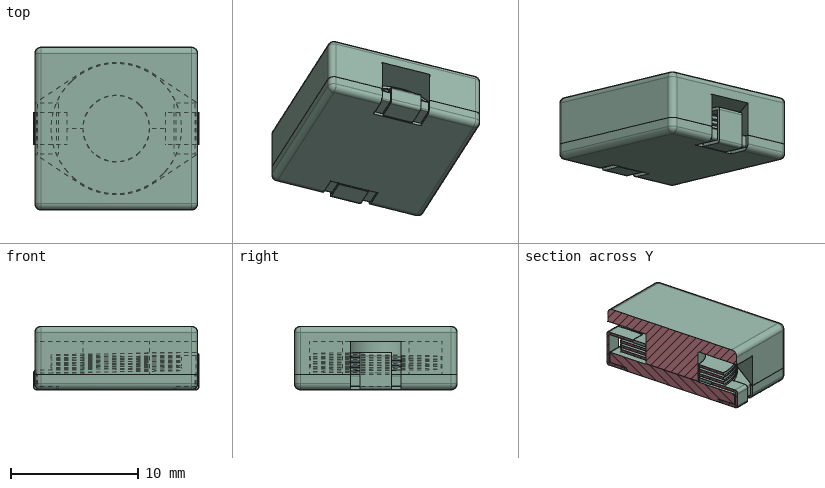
import cadquery as cq
import math

BLOCK_SIDE = 12.8
BLOCK_HEIGHT = 5.0
EDGE_RADIUS = 0.5
BASE_HEIGHT = 1.2

CHAMBER_TOP = 3.8
CHAMBER_RADIUS = 5.2
POST_DIAMETER = 5.2
WINDOW_WIDTH = 4.0

OVERALL_LENGTH = 13.01
WIRE_WIDTH = 2.5
WIRE_THICKNESS = 0.25
COIL_PITCH = 0.39
COIL_TURNS = 3.5
COIL_BOTTOM = 1.33
COIL_CLEARANCE = 0.03

SHOULDER_SETBACK = 0.2
SHOULDER_RADIUS = 0.1

BEND_RADIUS = 0.01
FOOT_LENGTH = 1.82
FOOT_CLEARANCE = 0.13

half_side = BLOCK_SIDE / 2
half_length = OVERALL_LENGTH / 2
half_wire = WIRE_THICKNESS / 2
post_radius = POST_DIAMETER / 2
coil_inner_radius = post_radius + COIL_CLEARANCE
coil_mean_radius = coil_inner_radius + WIRE_WIDTH / 2
lower_lead_height = COIL_BOTTOM + half_wire
upper_lead_height = lower_lead_height + COIL_TURNS * COIL_PITCH
shoulder_x = half_side - SHOULDER_SETBACK
channel_end_x = half_length - FOOT_LENGTH - FOOT_CLEARANCE


def slab(bottom, top):
    """Square slab over the block's whole footprint between two heights."""
    return (
        cq.Workplane("XY")
        .workplane(offset=bottom)
        .rect(BLOCK_SIDE, BLOCK_SIDE)
        .extrude(top - bottom)
    )


def rounded_slab(bottom, top, outer_face):
    """Slab rounded along its vertical edges and around one outer face."""
    rounded_sides = slab(bottom, top).edges("|Z").fillet(EDGE_RADIUS)
    return rounded_sides.faces(outer_face).edges().fillet(EDGE_RADIUS)


def chamber():
    """Round chamber whose walls run along tangents to a window at each end of X."""
    corner_y = WINDOW_WIDTH / 2
    corner_distance = math.hypot(half_side, corner_y)
    tangent_angle = math.atan2(corner_y, half_side) + math.acos(CHAMBER_RADIUS / corner_distance)
    tangent_x = CHAMBER_RADIUS * math.cos(tangent_angle)
    tangent_y = CHAMBER_RADIUS * math.sin(tangent_angle)
    return (
        cq.Workplane("XY")
        .workplane(offset=BASE_HEIGHT)
        .moveTo(half_side, -corner_y)
        .lineTo(half_side, corner_y)
        .lineTo(tangent_x, tangent_y)
        .threePointArc((0, CHAMBER_RADIUS), (-tangent_x, tangent_y))
        .lineTo(-half_side, corner_y)
        .lineTo(-half_side, -corner_y)
        .lineTo(-tangent_x, -tangent_y)
        .threePointArc((0, -CHAMBER_RADIUS), (tangent_x, -tangent_y))
        .close()
        .extrude(CHAMBER_TOP - BASE_HEIGHT)
    )


def make_upper_core():
    """Rounded cover with the winding chamber and its central round post."""
    post = (
        cq.Workplane("XY")
        .workplane(offset=BASE_HEIGHT)
        .circle(post_radius)
        .extrude(CHAMBER_TOP - BASE_HEIGHT)
    )
    return rounded_slab(BASE_HEIGHT, BLOCK_HEIGHT, ">Z").cut(chamber().cut(post))


def terminal_notch():
    """Material removed from the +X end of the base so that a terminal can wrap around it."""
    shoulder_height = BASE_HEIGHT - WIRE_THICKNESS
    blank = cq.Workplane("XY").box(
        half_side - channel_end_x, WINDOW_WIDTH, BASE_HEIGHT, centered=(False, True, False)
    )
    shoulder = (
        cq.Workplane("XY")
        .box(shoulder_x - channel_end_x, WINDOW_WIDTH, shoulder_height, centered=(False, True, False))
        .edges(">X and |Y")
        .fillet(SHOULDER_RADIUS)
        .translate((0, 0, WIRE_THICKNESS))
    )
    return blank.cut(shoulder).translate((channel_end_x, 0, 0))


def make_base():
    """Flat base plate with a terminal notch at each end of X."""
    notch = terminal_notch()
    opposite_notch = notch.rotate((0, 0, 0), (0, 0, 1), 180)
    return rounded_slab(0, BASE_HEIGHT, "<Z").cut(notch).cut(opposite_notch)


def make_terminal(lead_height):
    """Wire end on +X: a level lead, folded down the end face and back under the base."""
    path_radius = BEND_RADIUS + half_wire
    face_x = half_length - half_wire
    bend_x = face_x - path_radius
    path = (
        cq.Workplane("XZ")
        .moveTo(coil_mean_radius, lead_height)
        .lineTo(bend_x, lead_height)
        .tangentArcPoint((face_x, lead_height - path_radius), relative=False)
        .lineTo(face_x, half_wire + path_radius)
        .tangentArcPoint((bend_x, half_wire), relative=False)
        .lineTo(half_length - FOOT_LENGTH, half_wire)
    )
    return (
        cq.Workplane("YZ", origin=(coil_mean_radius, 0, lead_height))
        .rect(WIRE_WIDTH, WIRE_THICKNESS)
        .sweep(path)
    )


def make_winding():
    """Helical flat wire, rising counterclockwise from the -X terminal to the +X terminal."""
    helix = cq.Wire.makeHelix(COIL_PITCH, COIL_PITCH * COIL_TURNS, coil_mean_radius)
    coil = (
        cq.Workplane("XZ", origin=(coil_mean_radius, 0, 0))
        .rect(WIRE_WIDTH, WIRE_THICKNESS)
        .sweep(cq.Workplane(helix), isFrenet=True)
        .rotate((0, 0, 0), (0, 0, 1), 180)
        .translate((0, 0, lower_lead_height))
    )
    lower_terminal = make_terminal(lower_lead_height).rotate((0, 0, 0), (0, 0, 1), 180)
    upper_terminal = make_terminal(upper_lead_height)
    return coil.union(lower_terminal).union(upper_terminal)


upper_core = make_upper_core()
base = make_base()
winding = make_winding()

result = cq.Compound.makeCompound(
    [upper_core.solids().val(), base.solids().val(), winding.solids().val()]
)